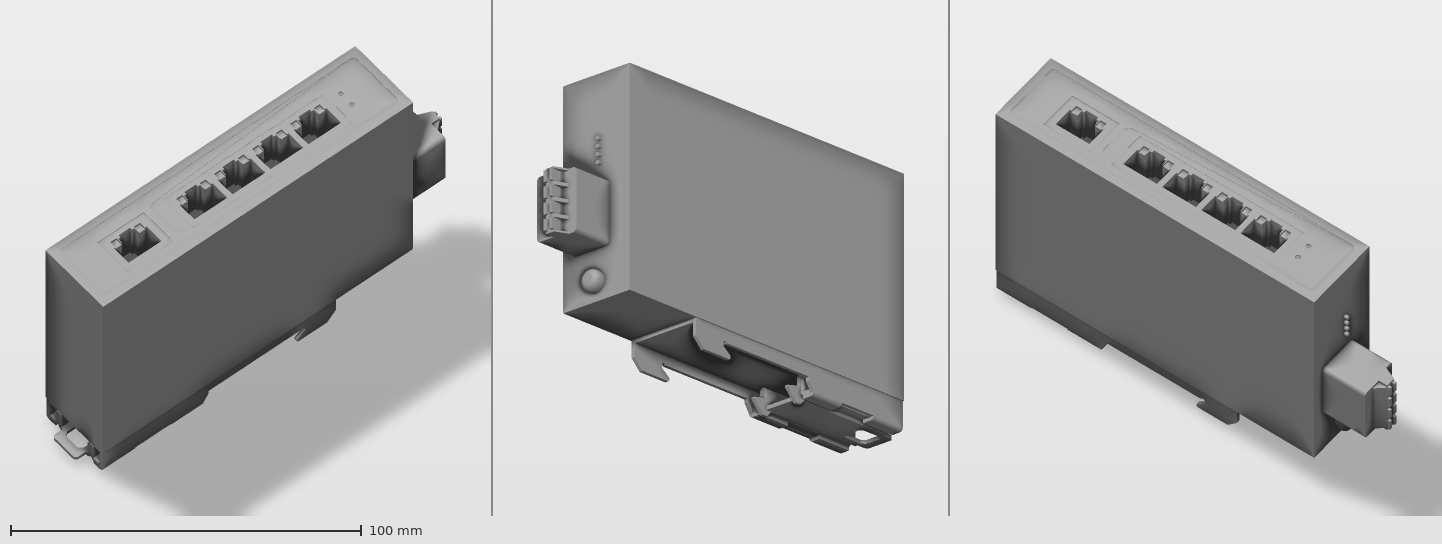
import cadquery as cq

BODY_WIDTH = 26.0
BODY_LENGTH = 114.3
BODY_HEIGHT = 70.0

STEP_DEPTH = 0.1
PANEL_DEPTH = 2 * STEP_DEPTH
WINDOW_DEPTH = 3 * STEP_DEPTH
LABEL_HALF_WIDTH = 10.4
LABEL_FRONT = 2.7
LABEL_REAR = 111.7
LABEL_FRONT_RADIUS = 1.0
LABEL_REAR_RADIUS = 1.8
PANEL_FRONT = 32.3
PANEL_FRONT_HALF_WIDTH = 6.5
PANEL_TAPER_END = 107.5
PANEL_RADIUS = 2.5
INDICATOR_RADIUS = 0.8
INDICATOR_X = (-2.6, 2.4)
INDICATOR_Y = 100.4
INDICATOR_DEPTH = 0.3

JACK_PITCH = 14.0
JACK_COUNT = 4
JACK_ROW_CENTRE = 67.0
SINGLE_JACK_Y = 21.75
JACK_DEPTH = 12.0
JACK_LEFT = -1.3
JACK_RIGHT = 5.3
JACK_HALF_LENGTH = 6.05
KEY_LEFT = -4.0
KEY_HALF_LENGTH = 2.1
KEY_STEP_LEFT = -3.1
KEY_STEP_HALF_LENGTH = 3.0
LAMP_LEFT = -3.6
LAMP_LENGTH = 2.2
LAMP_CENTRE = 4.35
LAMP_DEPTH = 1.0
WINDOW_LEFT = -5.7
WINDOW_RIGHT = 7.75
WINDOW_MARGIN = 8.5

PLUG_CENTRE_Z = 26.05
PLUG_HEIGHT = 20.1
PLUG_LEFT = -5.3
PLUG_RIGHT = 9.05
PLUG_LEFT_REACH = 14.0
PLUG_RIGHT_REACH = 15.2
PLUG_EDGE_RADIUS = 1.3
HEAD_REACH = 18.3
HEAD_FOOT_X = -2.4
HEAD_LEFT = -0.6
HEAD_RIGHT = 2.6
WEDGE_RIGHT = 5.3
WEDGE_END_INSET = 1.0
POLE_COUNT = 4
POLE_PITCH = 5.0
LEVER_HEIGHT = 3.6
LEVER_REACH = 19.23
LEVER_FOOT_REACH = 15.7
LEVER_BLADE = 0.9
LEVER_SETBACK = 0.1
POCKET_HEIGHT = 3.9
POCKET_FLOOR_X = -0.3

PIN_RADIUS = 0.65
PIN_REACH = 1.25
PIN_X = -1.5
PIN_PITCH = 2.5
PIN_COUNT = 4
PIN_LOWEST_Z = 42.2
SCREW_Z = 5.9
SCREW_RADIUS = 3.4
SCREW_RIM = 1.7
SCREW_REACH = 3.8
SCREW_TIP_RADIUS = 1.2
SCREW_DOME_BULGE = 0.5

SHEET = 1.2
BRACKET_HALF_WIDTH = 12.6
BRACKET_SETBACK = 0.1
BRACKET_REAR = 86.15
LIP_BOTTOM = -9.3
LIP_INNER_X = 8.5
LIP_REAR = 37.2
LIP_GAP_FRONT = 12.2
LIP_GAP_REAR = 25.4
RAIL_SEAT_Z = -4.15
HOOK_BOTTOM = -8.75
HOOK_CHAMFER = 3.3
HOOK_TIP_Y = 71.7
HOOK_TIP_TOP = -7.6
HOOK_TIP_CHAMFER = 0.4
SHOULDER_Y = 39.1
SHOULDER_Z = -5.3
RELIEF_RADIUS = 0.85
RELIEF_Y = 73.9
RELIEF_Z = -4.5

LATCH_FOLD_TOP = -1.4
LATCH_OUTER_X = 8.5
LATCH_INNER_X = 5.95
LATCH_FOLD_GAP = 0.15
LATCH_FLANGE_X = 10.9
LATCH_WEB_TOP = -7.4
LATCH_REAR = 37.2
BEND_RADIUS = 1.0
TOOTH_ROOT_Y = 35.2
TOOTH_BOTTOM = -10.42
TOOTH_HEEL_FRONT = 36.9
TOOTH_HEEL_REAR = 38.6
TOOTH_TIP_Y = 42.2
TOOTH_TIP_TOP = -6.0
TOOTH_TIP_BOTTOM = -6.4
TAB_HALF_WIDTH = 5.2
TAB_REACH = 3.85
TAB_CORNER = 1.2
TAB_WINDOW_HALF_WIDTH = 3.7
TAB_WINDOW_FRONT = -0.85
TAB_WINDOW_REAR = 8.0

LUG_HALF_WIDTH = 1.9
LUG_Y = 20.0
LUG_BOSS_RADIUS = 1.6
LUG_BOSS_LENGTH = 0.5
LUG_HOLE_RADIUS = 1.1
LUG_HOLE_Z = -3.5
LUG_FOOT_TOP = -5.2
LUG_FOOT_BOTTOM = -6.9


def box(x_range, y_range, z_range):
    size = (x_range[1] - x_range[0], y_range[1] - y_range[0], z_range[1] - z_range[0])
    return cq.Workplane("XY").box(*size, centered=False).translate((x_range[0], y_range[0], z_range[0]))


def side_plate(outline, x_from, x_to):
    """Plate with a (Y, Z) outline, filling X from x_from to x_to."""
    return cq.Workplane("YZ", origin=(x_from, 0, 0)).polyline(outline).close().extrude(x_to - x_from)


def mirrored(half):
    return half.union(half.mirror("YZ"))


def cylinder_along_y(x, y, z, radius, length):
    centre_plane = cq.Plane(origin=(x, y, z), xDir=(1, 0, 0), normal=(0, 1, 0))
    return cq.Workplane(centre_plane).circle(radius).extrude(length)


def top_pocket(x_range, y_range, depth):
    return box(x_range, y_range, (BODY_HEIGHT - depth, BODY_HEIGHT))


def label_recess():
    label = top_pocket((-LABEL_HALF_WIDTH, LABEL_HALF_WIDTH), (LABEL_FRONT, LABEL_REAR), STEP_DEPTH)
    label = label.edges("|Z and <Y").fillet(LABEL_FRONT_RADIUS)
    return label.edges("|Z and >Y").fillet(LABEL_REAR_RADIUS)


def panel_recess():
    panel = (
        cq.Workplane("XY", origin=(0, 0, BODY_HEIGHT - PANEL_DEPTH))
        .moveTo(-PANEL_FRONT_HALF_WIDTH, PANEL_FRONT)
        .lineTo(PANEL_FRONT_HALF_WIDTH, PANEL_FRONT)
        .lineTo(LABEL_HALF_WIDTH, PANEL_TAPER_END)
        .lineTo(LABEL_HALF_WIDTH, LABEL_REAR)
        .lineTo(-LABEL_HALF_WIDTH, LABEL_REAR)
        .lineTo(-LABEL_HALF_WIDTH, PANEL_TAPER_END)
        .close()
        .extrude(PANEL_DEPTH)
    )
    panel = panel.edges("|Z and <Y").fillet(PANEL_RADIUS)
    return panel.edges("|Z and >Y").fillet(LABEL_REAR_RADIUS)


def jack_cutter(y):
    bottom = BODY_HEIGHT - JACK_DEPTH
    openings = (
        (JACK_LEFT, JACK_HALF_LENGTH),
        (KEY_STEP_LEFT, KEY_STEP_HALF_LENGTH),
        (KEY_LEFT, KEY_HALF_LENGTH),
    )
    cutter = cq.Workplane("XY")
    for left, half_length in openings:
        y_range = (y - half_length, y + half_length)
        cutter = cutter.union(box((left, JACK_RIGHT), y_range, (bottom, BODY_HEIGHT)))
    for side in (-1, 1):
        lamp_y = y + side * LAMP_CENTRE
        y_range = (lamp_y - LAMP_LENGTH / 2, lamp_y + LAMP_LENGTH / 2)
        cutter = cutter.union(top_pocket((LAMP_LEFT, JACK_LEFT), y_range, LAMP_DEPTH))
    return cutter


def housing():
    half_width = BODY_WIDTH / 2
    body = box((-half_width, half_width), (0, BODY_LENGTH), (0, BODY_HEIGHT))
    body = body.cut(label_recess()).cut(panel_recess())
    row_half_span = JACK_PITCH * (JACK_COUNT - 1) / 2
    row = [JACK_ROW_CENTRE - row_half_span + i * JACK_PITCH for i in range(JACK_COUNT)]
    for first, last in ((row[0], row[-1]), (SINGLE_JACK_Y, SINGLE_JACK_Y)):
        y_range = (first - WINDOW_MARGIN, last + WINDOW_MARGIN)
        body = body.cut(top_pocket((WINDOW_LEFT, WINDOW_RIGHT), y_range, WINDOW_DEPTH))
    for y in row + [SINGLE_JACK_Y]:
        body = body.cut(jack_cutter(y))
    for x in INDICATOR_X:
        floor = cq.Workplane("XY", origin=(x, INDICATOR_Y, BODY_HEIGHT - PANEL_DEPTH - INDICATOR_DEPTH))
        body = body.cut(floor.circle(INDICATOR_RADIUS).extrude(PANEL_DEPTH + INDICATOR_DEPTH))
    return body


def plug_slice(outline, z_from, z_to):
    """Slab with an (X, reach) outline behind the rear face, filling Z from z_from to z_to."""
    plane = cq.Workplane("XY", origin=(0, BODY_LENGTH, z_from))
    return plane.polyline(outline).close().extrude(z_to - z_from)


def lever(z):
    """Release lever: a face plate on the pocket floor and two blades standing out of the head."""
    z_range = (z - LEVER_HEIGHT / 2, z + LEVER_HEIGHT / 2)
    head_end = BODY_LENGTH + HEAD_REACH
    face = (BODY_LENGTH + LEVER_FOOT_REACH, head_end)
    part = box((HEAD_LEFT, POCKET_FLOOR_X + LEVER_BLADE), face, z_range)
    for blade_left in (HEAD_LEFT + LEVER_SETBACK, HEAD_RIGHT - LEVER_BLADE):
        x_range = (blade_left, blade_left + LEVER_BLADE)
        part = part.union(box(x_range, (head_end - LEVER_BLADE, BODY_LENGTH + LEVER_REACH), z_range))
    return part


def terminal_plug():
    z_low = PLUG_CENTRE_Z - PLUG_HEIGHT / 2
    z_high = PLUG_CENTRE_Z + PLUG_HEIGHT / 2
    core = [
        (PLUG_LEFT, 0),
        (PLUG_LEFT, PLUG_LEFT_REACH),
        (HEAD_FOOT_X, PLUG_LEFT_REACH),
        (HEAD_RIGHT, PLUG_RIGHT_REACH),
        (PLUG_RIGHT, PLUG_RIGHT_REACH),
        (PLUG_RIGHT, 0),
    ]
    plug = plug_slice(core, z_low, z_high)
    plug = plug.edges("|Y").fillet(PLUG_EDGE_RADIUS)
    head = [
        (HEAD_FOOT_X, PLUG_LEFT_REACH),
        (HEAD_LEFT, HEAD_REACH),
        (HEAD_RIGHT, HEAD_REACH),
        (HEAD_RIGHT, PLUG_LEFT_REACH),
    ]
    plug = plug.union(plug_slice(head, z_low, z_high))
    wedge = [
        (HEAD_RIGHT, PLUG_LEFT_REACH),
        (HEAD_RIGHT, HEAD_REACH),
        (WEDGE_RIGHT, PLUG_RIGHT_REACH),
        (WEDGE_RIGHT, PLUG_LEFT_REACH),
    ]
    plug = plug.union(plug_slice(wedge, z_low + WEDGE_END_INSET, z_high - WEDGE_END_INSET))

    pocket = [
        (PLUG_LEFT, PLUG_LEFT_REACH),
        (PLUG_LEFT, HEAD_REACH),
        (POCKET_FLOOR_X, HEAD_REACH),
        (POCKET_FLOOR_X, PLUG_LEFT_REACH),
    ]
    for i in range(POLE_COUNT):
        z = PLUG_CENTRE_Z + (i - (POLE_COUNT - 1) / 2) * POLE_PITCH
        z_range = (z - POCKET_HEIGHT / 2, z + POCKET_HEIGHT / 2)
        plug = plug.cut(plug_slice(pocket, *z_range)).union(lever(z))
    return plug


def rear_pins():
    pins = cq.Workplane("XY")
    for i in range(PIN_COUNT):
        z = PIN_LOWEST_Z + i * PIN_PITCH
        pins = pins.union(cylinder_along_y(PIN_X, BODY_LENGTH, z, PIN_RADIUS, PIN_REACH))
    return pins


def earth_screw():
    mid_radius = (SCREW_RADIUS + SCREW_TIP_RADIUS) / 2 + SCREW_DOME_BULGE
    mid_reach = (SCREW_RIM + SCREW_REACH) / 2 + SCREW_DOME_BULGE
    profile = (
        cq.Workplane("XY")
        .lineTo(-SCREW_RADIUS, 0)
        .lineTo(-SCREW_RADIUS, SCREW_RIM)
        .threePointArc((-mid_radius, mid_reach), (-SCREW_TIP_RADIUS, SCREW_REACH))
        .lineTo(0, SCREW_REACH)
        .close()
    )
    return profile.revolve(360, (0, 0, 0), (0, 1, 0)).translate((0, BODY_LENGTH, SCREW_Z))


def bracket_side():
    """Right-hand wall and bottom lip of the bracket."""
    wall_bottom = LIP_BOTTOM + SHEET
    outline = [
        (0, 0),
        (BRACKET_REAR, 0),
        (BRACKET_REAR, HOOK_BOTTOM + HOOK_CHAMFER),
        (BRACKET_REAR - HOOK_CHAMFER, HOOK_BOTTOM),
        (HOOK_TIP_Y + HOOK_TIP_CHAMFER, HOOK_BOTTOM),
        (HOOK_TIP_Y, HOOK_BOTTOM + HOOK_TIP_CHAMFER),
        (HOOK_TIP_Y, HOOK_TIP_TOP),
        (RELIEF_Y + RELIEF_RADIUS, RELIEF_Z - RELIEF_RADIUS),
        (RELIEF_Y, RAIL_SEAT_Z),
        (SHOULDER_Y, RAIL_SEAT_Z),
        (SHOULDER_Y, SHOULDER_Z),
        (LIP_REAR, wall_bottom),
        (0, wall_bottom),
    ]
    inner_x = BRACKET_HALF_WIDTH - SHEET
    wall = side_plate(outline, inner_x, BRACKET_HALF_WIDTH)
    relief = cq.Workplane("YZ").center(RELIEF_Y, RELIEF_Z).circle(RELIEF_RADIUS)
    wall = wall.cut(relief.extrude(BRACKET_HALF_WIDTH))
    for y_front, y_rear in ((0, LIP_GAP_FRONT), (LIP_GAP_REAR, LIP_REAR)):
        lip = (
            cq.Workplane("XZ", origin=(0, y_front, 0))
            .moveTo(LIP_INNER_X, wall_bottom)
            .lineTo(BRACKET_HALF_WIDTH, wall_bottom)
            .radiusArc((BRACKET_HALF_WIDTH - SHEET, LIP_BOTTOM), SHEET)
            .lineTo(LIP_INNER_X, LIP_BOTTOM)
            .close()
            .extrude(y_front - y_rear)
        )
        wall = wall.union(lip)
    return wall


def bracket():
    half_width = BRACKET_HALF_WIDTH
    plate = box((-half_width, half_width), (0, BRACKET_REAR), (-SHEET, 0))
    return plate.union(mirrored(bracket_side())).translate((0, BRACKET_SETBACK, 0))


def latch_side():
    """Right-hand half of the folded latch strip."""
    web_bottom = LATCH_WEB_TOP - SHEET
    flange_bottom = LIP_BOTTOM + SHEET
    flange_top = flange_bottom + SHEET
    fold_x = (LATCH_OUTER_X + LATCH_INNER_X) / 2
    fold_radius = LATCH_OUTER_X - fold_x
    fold_z = LATCH_FOLD_TOP - fold_radius
    slot_left = fold_x - LATCH_FOLD_GAP / 2
    slot_right = fold_x + LATCH_FOLD_GAP / 2
    section = (
        cq.Workplane("XZ")
        .moveTo(0, LATCH_WEB_TOP)
        .lineTo(LATCH_INNER_X, LATCH_WEB_TOP)
        .lineTo(LATCH_INNER_X, fold_z)
        .threePointArc((fold_x, LATCH_FOLD_TOP), (LATCH_OUTER_X, fold_z))
        .lineTo(LATCH_OUTER_X, flange_top)
        .lineTo(LATCH_FLANGE_X, flange_top)
        .lineTo(LATCH_FLANGE_X, flange_bottom)
        .lineTo(slot_right + BEND_RADIUS, flange_bottom)
        .lineTo(slot_right, flange_bottom + BEND_RADIUS)
        .lineTo(slot_right, fold_z)
        .lineTo(slot_left, fold_z)
        .lineTo(slot_left, web_bottom + BEND_RADIUS)
        .lineTo(slot_left - BEND_RADIUS, web_bottom)
        .lineTo(0, web_bottom)
        .close()
        .extrude(-LATCH_REAR)
    )
    tooth = [
        (TOOTH_ROOT_Y, RAIL_SEAT_Z),
        (SHOULDER_Y, SHOULDER_Z),
        (TOOTH_TIP_Y, TOOTH_TIP_TOP),
        (TOOTH_TIP_Y, TOOTH_TIP_BOTTOM),
        (TOOTH_HEEL_REAR, TOOTH_BOTTOM),
        (TOOTH_HEEL_FRONT, TOOTH_BOTTOM),
        (TOOTH_ROOT_Y, web_bottom),
    ]
    return section.union(side_plate(tooth, LATCH_INNER_X, slot_left))


def pull_tab_window():
    z_range = (LATCH_WEB_TOP - 2 * SHEET, LATCH_WEB_TOP + SHEET / 2)
    x_range = (-TAB_WINDOW_HALF_WIDTH, TAB_WINDOW_HALF_WIDTH)
    return box(x_range, (TAB_WINDOW_FRONT, TAB_WINDOW_REAR), z_range).edges("|Z").chamfer(TAB_CORNER)


def latch():
    z_range = (LATCH_WEB_TOP - SHEET, LATCH_WEB_TOP)
    tab = box((-TAB_HALF_WIDTH, TAB_HALF_WIDTH), (-TAB_REACH, SHEET), z_range)
    tab = tab.edges("|Z and <Y").fillet(TAB_CORNER)
    return mirrored(latch_side()).union(tab).cut(pull_tab_window())


def spring_lug():
    x_range = (-LUG_HALF_WIDTH, LUG_HALF_WIDTH)
    lug = box(x_range, (LUG_Y, LUG_Y + SHEET), (LATCH_WEB_TOP, -SHEET))
    front = LUG_Y - LUG_BOSS_LENGTH
    lug = lug.union(cylinder_along_y(0, front, LUG_HOLE_Z, LUG_BOSS_RADIUS, LUG_BOSS_LENGTH))
    lug = lug.union(box(x_range, (front, LUG_Y), (LUG_FOOT_BOTTOM, LUG_FOOT_TOP)))
    return lug.cut(cylinder_along_y(0, front, LUG_HOLE_Z, LUG_HOLE_RADIUS, SHEET + LUG_BOSS_LENGTH))


result = housing()
for feature in (terminal_plug(), rear_pins(), earth_screw(), bracket(), latch(), spring_lug()):
    result = result.union(feature)